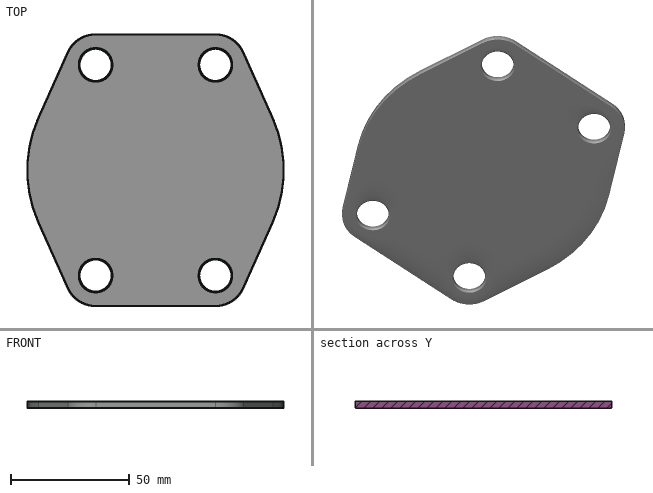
import cadquery as cq
import math

length = 115.0
width = 108.6
thickness = 3.0

hole_diameter = 13.5
hole_radius = hole_diameter / 2
hole_x = 25.3
corner_radius = 13.0
hole_y = length / 2 - corner_radius

outline_chamfer = 0.2
hole_chamfer = 0.5

side_radius = width / 2

corner_distance = math.hypot(hole_x, hole_y)
corner_angle = math.atan2(hole_y, hole_x)
tangent_angle = corner_angle - math.acos((side_radius - corner_radius) / corner_distance)
corner_mid_angle = (tangent_angle + math.pi / 2) / 2


def arc_point(center_x, center_y, radius, angle):
    return (center_x + radius * math.cos(angle), center_y + radius * math.sin(angle))


def mirror_x(point):
    return (-point[0], point[1])


def mirror_y(point):
    return (point[0], -point[1])


def turn(point):
    """Turn a point half a revolution about the plate centre."""
    return (-point[0], -point[1])


def make_plate():
    side_end = arc_point(0, 0, side_radius, tangent_angle)
    corner_start = arc_point(hole_x, hole_y, corner_radius, tangent_angle)
    corner_mid = arc_point(hole_x, hole_y, corner_radius, corner_mid_angle)
    corner_end = (hole_x, length / 2)
    outline = (
        cq.Workplane("XY")
        .moveTo(*mirror_y(side_end))
        .threePointArc((side_radius, 0), side_end)
        .lineTo(*corner_start)
        .threePointArc(corner_mid, corner_end)
        .lineTo(*mirror_x(corner_end))
        .threePointArc(mirror_x(corner_mid), mirror_x(corner_start))
        .lineTo(*mirror_x(side_end))
        .threePointArc((-side_radius, 0), turn(side_end))
        .lineTo(*turn(corner_start))
        .threePointArc(turn(corner_mid), turn(corner_end))
        .lineTo(*mirror_y(corner_end))
        .threePointArc(mirror_y(corner_mid), mirror_y(corner_start))
        .close()
    )
    return outline.extrude(thickness)


def make_hole_cutter():
    """Cutter for one hole with a chamfered rim on both faces."""
    rim_radius = hole_radius + hole_chamfer
    return (
        cq.Workplane("XZ")
        .moveTo(0, 0)
        .lineTo(rim_radius, 0)
        .lineTo(hole_radius, hole_chamfer)
        .lineTo(hole_radius, thickness - hole_chamfer)
        .lineTo(rim_radius, thickness)
        .lineTo(0, thickness)
        .close()
        .revolve(360, (0, 0), (0, 1))
    )


result = make_plate().faces("<Z or >Z").edges().chamfer(outline_chamfer)

hole_cutter = make_hole_cutter()
for x in (-hole_x, hole_x):
    for y in (-hole_y, hole_y):
        result = result.cut(hole_cutter.translate((x, y, 0)))